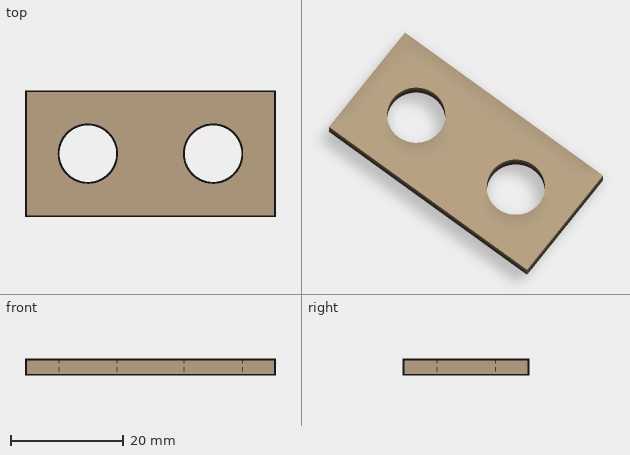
import cadquery as cq

length = 44.45
width = 22.35
thickness = 2.75

hole_diameter = 10.4
hole_spacing = 22.35

plate = cq.Workplane("XY").box(length, width, thickness)

result = (
    plate.faces(">Z")
    .workplane()
    .rarray(hole_spacing, 0.45, 2, 1)
    .hole(hole_diameter)
)